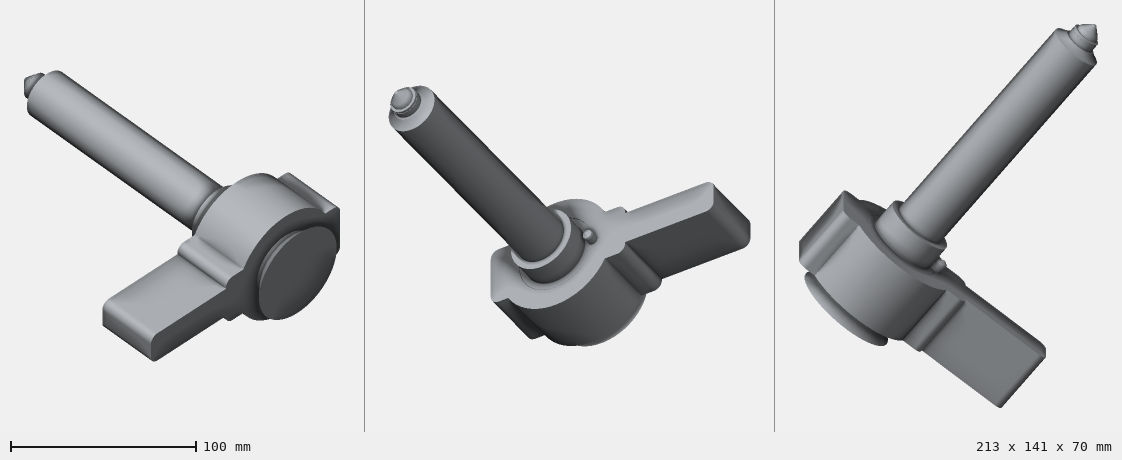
import cadquery as cq
import math


sleeve_front = 7.0
nose_front = 12.7
shaft_front = 16.2
collar_front = 150.0
handle_front = 165.0
handle_length = 38.0
handle_back = handle_front + handle_length
neck_length = 2.0
overall_length = 213.0
neck_back = handle_back + neck_length

plunger_dia = 13.0
plunger_tip_dia = 2.0
plunger_cone_dia = 10.8
plunger_cone_back = (plunger_cone_dia - plunger_tip_dia) / 2
plunger_back = 20.0

sleeve_dia = 16.0
sleeve_chamfer = 0.2
sleeve_groove_dia = 15.6
sleeve_groove_front = 7.7
sleeve_groove_width = 1.2

shaft_dia = 29.0
nose_dia = 18.2
nose_curve_radius = 16.0

collar_dia = 38.0
flange_dia = 46.0
bushing_round = 0.5

ring_inner_dia = 36.0
ring_width = 1.0
ring_fronts = [152.0, 161.0]

pin_dia = 6.0
pin_offset = -23.5
pin_cone_dia = 5.4
pin_cone_angle = 60.0
pin_cone_back = 159.15
pin_tip = pin_cone_back - pin_cone_dia / 2 / math.tan(math.radians(pin_cone_angle))
pin_cylinder_front = 160.6
pin_back = 175.0

hub_dia = 70.0
tail_width = 36.0
tail_end = 41.0
shoulder_width = 32.0
shoulder_end = -44.0
grip_width = 20.0
grip_end = -100.0
corner_radius = 5.0

neck_dia = 42.0
cone_dia = 58.0


def disc(dia, front, back, offset=0.0):
    """Cylinder along X, its axis shifted by offset in Y."""
    face = cq.Workplane("YZ", origin=(front, offset, 0))
    return face.circle(dia / 2).extrude(back - front)


def revolve_on_axis(outline):
    """Turn a closed half outline, drawn as (x, radius), about the X axis."""
    return outline.close().revolve(360, (0, 0, 0), (1, 0, 0))


def rounded_end(outline, cone_dia, cone_back, cylinder_dia, cylinder_front, back):
    """Continue a rod's half outline from its tip: cone, arc tangent to the cylinder, cylinder."""
    arc_length = cylinder_front - cone_back
    arc_rise = (cylinder_dia - cone_dia) / 2
    arc_radius = (arc_length**2 + arc_rise**2) / (2 * arc_rise)
    return (
        outline.lineTo(cone_back, cone_dia / 2)
        .radiusArc((cylinder_front, cylinder_dia / 2), arc_radius)
        .lineTo(back, cylinder_dia / 2)
        .lineTo(back, 0)
    )


def make_plunger():
    tip = cq.Workplane("XY").lineTo(0, plunger_tip_dia / 2)
    outline = rounded_end(
        tip, plunger_cone_dia, plunger_cone_back, plunger_dia, sleeve_front, plunger_back
    )
    return revolve_on_axis(outline)


def make_sleeve():
    sleeve = disc(sleeve_dia, sleeve_front, plunger_back).faces("<X").chamfer(sleeve_chamfer)
    groove_back = sleeve_groove_front + sleeve_groove_width
    groove = disc(sleeve_dia, sleeve_groove_front, groove_back)
    groove = groove.cut(disc(sleeve_groove_dia, sleeve_groove_front, groove_back))
    return sleeve.cut(groove).cut(disc(plunger_dia, sleeve_front, plunger_back))


def make_shaft():
    """Shaft with a hollow-curved nose and a blind bore for the sleeve."""
    outline = (
        cq.Workplane("XY")
        .moveTo(nose_front, 0)
        .lineTo(nose_front, nose_dia / 2)
        .radiusArc((shaft_front, shaft_dia / 2), -nose_curve_radius)
        .lineTo(handle_back, shaft_dia / 2)
        .lineTo(handle_back, 0)
    )
    return revolve_on_axis(outline).cut(disc(sleeve_dia, nose_front, plunger_back))


def make_ring(front):
    """Flat ring that fills a groove in the collar flush."""
    back = front + ring_width
    return disc(collar_dia, front, back).cut(disc(ring_inner_dia, front, back))


def make_bushing():
    """Collar and larger body in the handle, rounded where the collar meets the body's face."""
    body = disc(flange_dia, handle_front, handle_back).faces("<X").edges().fillet(bushing_round)
    bushing = body.union(disc(collar_dia, collar_front, handle_front))
    at_collar_base = cq.selectors.RadiusNthSelector(0)
    face_radius = (collar_dia + flange_dia) / 4
    flange_face = cq.selectors.NearestToPointSelector((handle_front, 0, face_radius))
    bushing = bushing.faces(flange_face).edges(at_collar_base).fillet(bushing_round)
    for front in ring_fronts:
        bushing = bushing.cut(make_ring(front))
    return bushing.cut(disc(shaft_dia, collar_front, handle_back)).cut(pin_hole())


def pin_hole():
    return disc(pin_dia, handle_front, pin_back, pin_offset)


def make_pin():
    tip = cq.Workplane("XY").moveTo(pin_tip, 0)
    outline = rounded_end(tip, pin_cone_dia, pin_cone_back, pin_dia, pin_cylinder_front, pin_back)
    return revolve_on_axis(outline).translate((0, pin_offset, 0))


def handle_bar(end, width):
    """Flat bar from the axis out to end, with rounded outer corners."""
    bar = cq.Workplane("XY").box(handle_length, abs(end), width)
    bar = bar.translate((handle_front + handle_length / 2, end / 2, 0))
    outer_face = ">Y" if end > 0 else "<Y"
    return bar.faces(outer_face).edges("|X").fillet(corner_radius)


def make_handle():
    handle = disc(hub_dia, handle_front, handle_back)
    for end, width in (
        (tail_end, tail_width),
        (shoulder_end, shoulder_width),
        (grip_end, grip_width),
    ):
        handle = handle.union(handle_bar(end, width))
    return handle.cut(disc(flange_dia, handle_front, handle_back)).cut(pin_hole())


def make_rear_cone():
    """Neck against the handle, flaring out to the rear face."""
    outline = (
        cq.Workplane("XY")
        .moveTo(handle_back, 0)
        .lineTo(handle_back, neck_dia / 2)
        .lineTo(neck_back, neck_dia / 2)
        .lineTo(overall_length, cone_dia / 2)
        .lineTo(overall_length, 0)
    )
    return revolve_on_axis(outline)


plunger = make_plunger()
sleeve = make_sleeve()
shaft = make_shaft()
bushing = make_bushing()
rings = [make_ring(front) for front in ring_fronts]
pin = make_pin()
handle = make_handle()
rear_cone = make_rear_cone()

result = cq.Compound.makeCompound(
    [
        plunger.val(),
        sleeve.val(),
        shaft.val(),
        bushing.val(),
        *[ring.val() for ring in rings],
        pin.val(),
        handle.val(),
        rear_cone.val(),
    ]
)